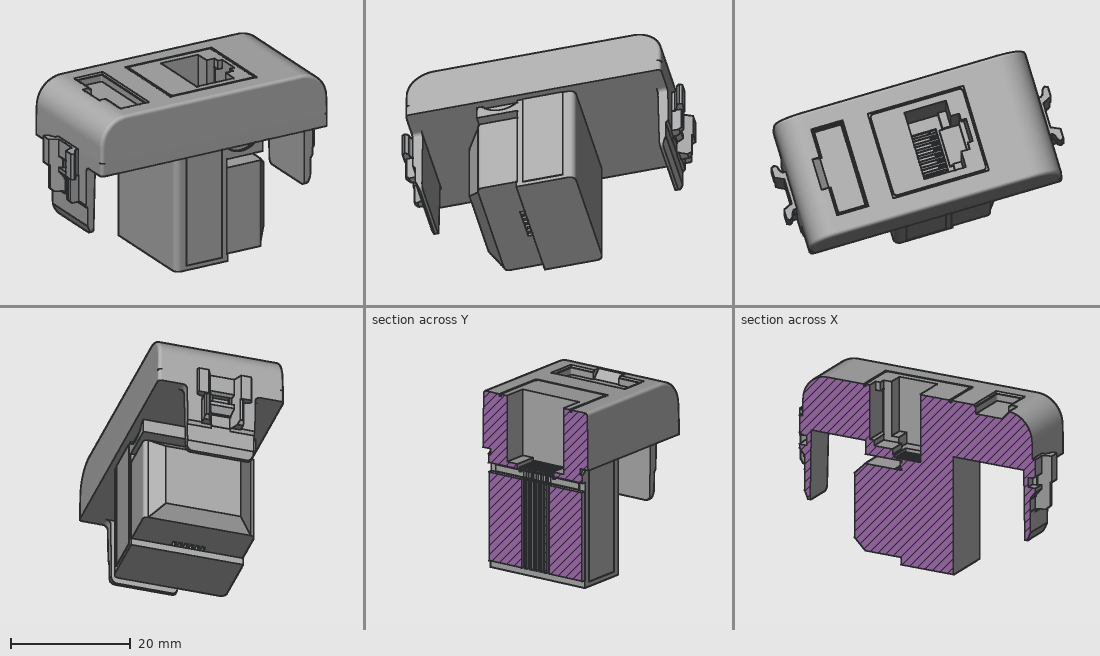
import cadquery as cq


width = 22.0
length = 44.0
end_y = length / 2
frame_height = 2.3
cover_top = 10.05
cap_height = cover_top - frame_height
cap_taper = 1.2
end_radius = 4.82
side_radius = 0.6

insert_width = 14.95
insert_front = -6.45
insert_back = 10.25
groove_width = 0.3
groove_depth = 0.4
insert_corner = 0.6

plug_half_width = 5.9
plug_front = -0.55
shoulder_start = 5.3
shoulder_back = 6.7
latch_half_width = 3.15
latch_start = 4.75
latch_back = 8.2
notch_half_width = 2.0
notch_back = 9.05
catch_half_width = 4.35
catch_top = 1.55
shoulder_depth = 9.65
latch_depth = 10.6
plug_depth = 11.6

contact_count = 8
contact_pitch = 1.0
slot_width = 0.6
comb_half_width = 3.7
comb_step = 0.5
slot_front = -0.25
contact_end = 3.25
slot_back = 4.3

window_half_width = 7.6
window_front = -16.3
window_back = -10.8
rim_width = 0.4
rim_taper = 30.0
window_corner = 0.3
rim_depth = 0.35
window_depth = 1.55
finger_half_width = 2.7
finger_back = -16.2
finger_front = -17.55

body_half_width = 9.85
body_front = -6.9
body_back = 3.2
body_depth = 20.95
body_corner = 1.05
panel_front = -4.85
panel_back = 2.05
panel_depth = 20.05
panel_height = 0.1
back_step = 0.17
back_step_height = 1.3

block_top = -4.05
block_bottom = back_step_height - body_depth
block_half_width = 9.75
block_edge = 10.0
block_end = 12.05
block_end_inset = 2.05
block_side_inset = 2.4
block_round = 0.75

bracket_depth = 2.45
recess_y = 5.85
recess_z = 2.45
recess_radius = 4.0
recess_depth = 0.5
rib_height = 0.3
rib_half_width = 8.7
rib_top = -2.7
rib_bottom = -3.9

tab_inner = 20.25
tab_inner_tip = 20.45
tab_top_half_width = 6.0
tab_tip_half_width = 5.8
tab_depth = 12.4
tab_corner = 0.95
tab_root_radius = 0.8
tab_step_top = -7.0
tab_step_bottom = -7.6
tab_thin_outer = 21.6
tab_bevel_start = -10.85
tab_tip_outer = 21.0

hook_reach = 2.1
hook_bottom = -2.35
prong_bottom = -7.15
prong_reach = 1.9
thin_reach = tab_thin_outer - end_y
prong_half_width = 3.43
prong_corner = 0.25
prong_chamfer = 0.65
stem_half_width = 3.3
stem_reach = 0.5
lip_half_width = 4.8
lip_reach = 1.65
lip_tip = 4.55
lip_round_middle = (4.65, 1.35)
lip_neck = (4.3, 1.05)
neck_middle = (3.65, 0.85)
hook_inner_tip = 2.85

bar_half_width = 2.1
bar_reach = 0.6
bar_bottom = -0.75
bar_chamfer = 0.4
pocket_half_width = 1.5
pocket_bottom = -2.8
pocket_reach = -0.8
ledge_bottom = -3.5
ledge_half_width = 2.2
ledge_root = -4.65
ledge_foot = -4.85
ledge_foot_height = 0.15
floor_reach = -0.45


def block(x_half, y_low, y_high, z_low, z_high):
    """Box centred on X between the given Y and Z limits."""
    solid = cq.Workplane("XY", origin=(0, y_low, z_low))
    return solid.box(2 * x_half, y_high - y_low, z_high - z_low, centered=(True, False, False))


def along_x(points, half_width):
    """Prism centred on X with a (Y, Z) outline."""
    return cq.Workplane("YZ").polyline(points).close().extrude(half_width, both=True)


def mirrored_prism(points, z_low, z_high):
    """Two prisms, mirror images across X = 0, with an (X, reach) outline on the +Y end."""
    right = (
        cq.Workplane("XY", origin=(0, end_y, z_low)).polyline(points).close().extrude(z_high - z_low)
    )
    return right.union(right.mirror("YZ"))


def inner_flank(reach):
    """Half width of the gap between the prongs at the given reach."""
    slope = (hook_inner_tip - bar_half_width) / (hook_reach - bar_reach)
    return bar_half_width + slope * (reach - bar_reach)


def cover():
    """Straight frame and tapered cap, rounded at both ends and along the sides."""
    frame = block(width / 2, -end_y, end_y, 0, frame_height).edges("|Z").fillet(side_radius)
    cap = (
        cq.Workplane("XY")
        .workplane(offset=frame_height)
        .rect(width, length)
        .extrude(cap_height, taper=cap_taper)
        .faces(">Z")
        .edges("|X")
        .fillet(end_radius)
    )
    for side in ("<X", ">X"):
        cap = cap.faces(side).edges("not <Z").fillet(side_radius)
    return frame.union(cap)


def insert_groove():
    """Thin groove around a round-cornered island in the cover top."""
    half = insert_width / 2
    z_low = cover_top - groove_depth
    outer = block(half, insert_front, insert_back, z_low, cover_top)
    island = block(
        half - groove_width, insert_front + groove_width, insert_back - groove_width, z_low, cover_top
    )
    return outer.cut(island.edges("|Z").fillet(insert_corner))


def jack_opening():
    """Plug cavity with shallower shoulders, latch channel and catch."""
    plug_floor = cover_top - plug_depth
    shoulder_floor = cover_top - shoulder_depth
    latch_floor = cover_top - latch_depth
    cavity = block(plug_half_width, plug_front, shoulder_start, plug_floor, cover_top)
    shoulders = block(plug_half_width, shoulder_start, shoulder_back, shoulder_floor, cover_top)
    latch_footing = block(latch_half_width, latch_start, shoulder_start, plug_floor, latch_floor)
    latch = block(latch_half_width, latch_start, latch_back, latch_floor, cover_top)
    notch = block(notch_half_width, latch_back, notch_back, shoulder_floor, cover_top)
    catch = block(catch_half_width, latch_back, notch_back, shoulder_floor, cover_top - catch_top)
    return cavity.cut(latch_footing).union(shoulders).union(latch).union(notch).union(catch)


def contact_comb():
    """Stepped comb recess, contact slots, and through gaps beyond the ends of the inner contacts."""
    floor = cover_top - plug_depth
    comb_floor = floor - comb_step
    slot_floor = comb_floor - comb_step
    comb = block(comb_half_width, plug_front, slot_back, comb_floor, floor)
    for i in range(contact_count):
        x = (i - (contact_count - 1) / 2) * contact_pitch
        slot = block(slot_width / 2, slot_front, contact_end, slot_floor, comb_floor)
        is_outer = i in (0, contact_count - 1)
        gap_floor = slot_floor - comb_step if is_outer else -body_depth
        gap = block(slot_width / 2, contact_end, slot_back, gap_floor, comb_floor)
        comb = comb.union(slot.union(gap).translate((x, 0, 0)))
    return comb.intersect(block(comb_half_width, plug_front, slot_back, -body_depth, floor))


def label_window():
    """Shallow pocket with a sloped rim and a finger notch that cuts into the front rounding."""
    inner_front = window_front + rim_width
    floor = cover_top - window_depth
    rim = (
        cq.Workplane("XY", origin=(0, (window_front + window_back) / 2, cover_top))
        .rect(2 * window_half_width, window_back - window_front)
        .extrude(-rim_depth, taper=rim_taper)
    )
    pocket = block(window_half_width - rim_width, inner_front, window_back - rim_width, floor, cover_top)
    finger = along_x(
        [(inner_front, floor), (finger_back, floor), (finger_front, cover_top), (inner_front, cover_top)],
        finger_half_width,
    )
    return rim.union(pocket.edges("|Z").fillet(window_corner)).union(finger)


def jack_body():
    """Body with rounded front corners, a raised panel on each side and a shallow back step."""
    body = block(body_half_width, body_front, body_back, -body_depth, 0).edges("|Z and <Y").fillet(body_corner)
    body = body.cut(
        block(body_half_width, body_back - back_step, body_back, back_step_height - body_depth, 0)
    )
    panel = block(body_half_width + panel_height, panel_front, panel_back, -panel_depth, 0)
    return body.union(panel)


def rear_block():
    """Block with rounded back corners and a tapered end."""
    root = body_back - back_step
    main = block(block_half_width, root, block_edge, block_bottom, block_top)
    main = main.edges("|Z and >Y").fillet(block_round)
    base_width = 2 * (block_half_width - block_round)
    height = block_top - block_bottom
    tip = (
        cq.Workplane("XZ", origin=(0, block_edge, (block_top + block_bottom) / 2))
        .rect(base_width, height)
        .workplane(offset=block_edge - block_end)
        .rect(base_width - 2 * block_side_inset, height - 2 * block_end_inset)
        .loft()
    )
    return main.union(tip)


def bracket():
    """Plate under the cover with two round side recesses, and a rib in the gap below it."""
    root = body_back - back_step
    plate = block(body_half_width, root, block_edge, -bracket_depth, 0)
    for side in (-1, 1):
        recess = (
            cq.Workplane("YZ", origin=(side * body_half_width, 0, 0))
            .center(recess_y, recess_z)
            .circle(recess_radius)
            .extrude(-side * recess_depth)
        )
        plate = plate.cut(recess)
    rib = block(rib_half_width, root, root + rib_height, rib_bottom, rib_top)
    return plate.union(rib)


def tab():
    """Flat tab with rounded corners that thins below a step and bevels at its tip."""
    side_profile = [
        (tab_inner, 0),
        (end_y, 0),
        (end_y, tab_step_top),
        (tab_thin_outer, tab_step_bottom),
        (tab_thin_outer, tab_bevel_start),
        (tab_tip_outer, -tab_depth),
        (tab_inner_tip, -tab_depth),
    ]
    side = along_x(side_profile, tab_top_half_width + tab_root_radius)
    outline = (
        cq.Workplane("XZ", origin=(0, end_y, 0))
        .moveTo(-tab_top_half_width - tab_root_radius, 0)
        .radiusArc((-tab_top_half_width, -tab_root_radius), tab_root_radius)
        .lineTo(-tab_tip_half_width, tab_corner - tab_depth)
        .radiusArc((tab_corner - tab_tip_half_width, -tab_depth), -tab_corner)
        .lineTo(tab_tip_half_width - tab_corner, -tab_depth)
        .radiusArc((tab_tip_half_width, tab_corner - tab_depth), -tab_corner)
        .lineTo(tab_top_half_width, -tab_root_radius)
        .radiusArc((tab_top_half_width + tab_root_radius, 0), tab_root_radius)
        .close()
        .extrude(end_y - tab_inner)
    )
    return side.intersect(outline)


def hooks():
    """Two prongs, each with a wide hooked upper part and a narrower lower part."""
    upper = (
        cq.Workplane("XY", origin=(0, end_y, hook_bottom))
        .moveTo(inner_flank(0), 0)
        .lineTo(hook_inner_tip, hook_reach)
        .lineTo(lip_tip, hook_reach)
        .lineTo(lip_half_width, lip_reach)
        .threePointArc(lip_round_middle, lip_neck)
        .threePointArc(neck_middle, (stem_half_width, stem_reach))
        .lineTo(stem_half_width, 0)
        .close()
        .extrude(frame_height - hook_bottom)
    )
    upper = upper.union(upper.mirror("YZ"))
    lower = mirrored_prism(
        [
            (inner_flank(thin_reach), thin_reach),
            (inner_flank(prong_reach), prong_reach),
            (prong_half_width - prong_corner, prong_reach),
            (prong_half_width, prong_reach - prong_corner),
            (prong_half_width, thin_reach),
        ],
        prong_bottom,
        hook_bottom,
    )
    lower = lower.faces(">Y").edges("<Z").chamfer(prong_chamfer)
    return upper.union(lower)


def clip():
    """Tab, prongs and the bar and ledge between the prongs, on the +Y end."""
    gap = mirrored_prism(
        [(0, pocket_reach), (pocket_half_width, pocket_reach), (pocket_half_width, bar_reach), (0, bar_reach)],
        pocket_bottom,
        bar_bottom - bar_chamfer,
    )
    floor = mirrored_prism(
        [(0, floor_reach), (inner_flank(floor_reach), floor_reach), (inner_flank(0), 0), (0, 0)],
        prong_bottom,
        pocket_bottom,
    )
    step_gap = block(inner_flank(thin_reach), tab_thin_outer, end_y, tab_step_bottom, prong_bottom)
    bar = along_x(
        [
            (end_y, frame_height),
            (end_y + bar_reach, frame_height),
            (end_y + bar_reach, bar_bottom),
            (end_y, bar_bottom - bar_chamfer),
        ],
        bar_half_width,
    )
    ledge = along_x(
        [
            (end_y + floor_reach, pocket_bottom),
            (end_y + bar_reach, pocket_bottom),
            (end_y + bar_reach, ledge_bottom),
            (end_y + floor_reach + ledge_foot_height, ledge_root),
            (end_y + floor_reach + ledge_foot_height, ledge_foot),
            (end_y + floor_reach, ledge_foot),
        ],
        ledge_half_width,
    )
    return tab().cut(gap).cut(floor).cut(step_gap).union(bar).union(ledge).union(hooks())


back_clip = clip()
front_clip = back_clip.mirror("XZ")

result = cover().union(jack_body()).union(rear_block()).union(bracket())
result = result.cut(insert_groove()).cut(jack_opening()).cut(contact_comb()).cut(label_window())
result = result.union(back_clip).union(front_clip)